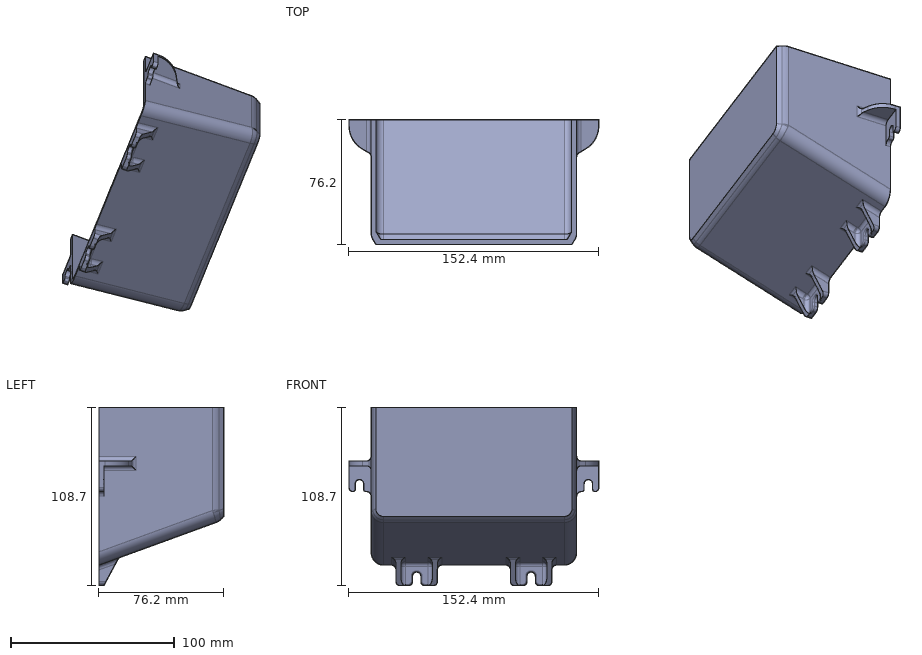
import cadquery as cq
import math

overall_width = 152.4
depth = 76.2
height = 108.7

body_width = 125.5
wall = 3.0
floor_back_z = 12.5
floor_angle = 20.0
floor_corner_radius = 7.6

side_bevel_width = 2.9
side_bevel_angle = 31.0
floor_bevel_width = 2.0
floor_bevel_angle = 44.0
bevel_run = 15.2
ridge_reach = 6.1
ridge_radius = 7.6

plate = 3.0
root_radius = 2.7
slot_width = 5.0
tip_radius = 2.5

ear_top_z = 76.0
ear_bottom_z = 57.3
ear_straight = 3.8
ear_arc_radius = 16.5
ear_arc_angle = 60.0
ear_slot_x = 69.8
ear_slot_top_z = 64.6
ear_slot_mouth_radius = 1.5
ear_reach = 22.9

foot_spacing = 69.8
foot_width = 25.3
gusset_angle = 28.0
foot_edge_radius = 0.8
foot_slot_top_z = 8.2
foot_slot_mouth_radius = 2.5

half_body = body_width / 2
half_overall = overall_width / 2
floor_slope = math.tan(math.radians(floor_angle))
tolerance = 0.002


def floor_z(y):
    """Height of the outer floor surface at a given Y."""
    return floor_back_z - y * floor_slope




def bevel_outline(y, half_width, bottom_z, radius):
    """Closed outline across Y with rounded lower corners, reaching above the hopper's rim."""
    top_z = height + wall
    return (
        cq.Workplane("XZ", origin=(0, y, 0))
        .moveTo(-half_width, top_z)
        .lineTo(-half_width, bottom_z + radius)
        .radiusArc((radius - half_width, bottom_z), -radius)
        .lineTo(half_width - radius, bottom_z)
        .radiusArc((half_width, bottom_z + radius), -radius)
        .lineTo(half_width, top_z)
        .close()
        .wires()
        .val()
    )


def bevel_envelope(inset, front_y, front_floor_z):
    """Solid that flares backward from the front face and leaves the bevels when intersected."""
    side_flare = bevel_run * math.tan(math.radians(side_bevel_angle))
    floor_flare = bevel_run * math.tan(math.radians(floor_bevel_angle))
    half_width = half_body - inset - side_bevel_width
    bottom_z = front_floor_z + floor_bevel_width
    radius = floor_corner_radius - inset - side_bevel_width
    back_y = front_y + bevel_run
    front = bevel_outline(front_y, half_width, bottom_z, radius)
    back = bevel_outline(back_y, half_width + side_flare, bottom_z - floor_flare, radius + side_flare)
    flare = cq.Workplane(cq.Solid.makeLoft([front, back], True))
    rest = (
        cq.Workplane("XY")
        .box(overall_width, -back_y, 2 * height, centered=(True, False, True))
        .translate((0, back_y, 0))
    )
    return flare.union(rest)


def hopper(inset):
    """Solid hopper with its sides, floor and front moved inward by inset."""
    lift = inset / math.cos(math.radians(floor_angle))
    front_y = inset - depth
    front_floor_z = floor_z(front_y) + lift
    solid = (
        cq.Workplane("YZ")
        .moveTo(0, floor_z(0) + lift)
        .lineTo(0, height)
        .lineTo(front_y, height)
        .lineTo(front_y, front_floor_z)
        .close()
        .extrude(half_body - inset, both=True)
    )
    solid = solid.faces("<Z").edges("<X or >X").fillet(floor_corner_radius - inset)
    return solid.intersect(bevel_envelope(inset, front_y, front_floor_z))


def round_ridge(solid):
    """Round the ridge where the front bevels meet the sides and floor of the outer hopper."""
    near_front = cq.selectors.BoxSelector(
        (-overall_width, tolerance - depth, 0),
        (overall_width, ridge_reach - depth, height + tolerance),
        boundingbox=True,
    )
    return solid.edges("not(<Y or >Z)").edges(near_front).fillet(ridge_radius)




def slot(x, bottom_z, top_z, mouth_radius):
    """Cutter for a round-topped slot, open downward, with rounded mouth corners."""
    half = slot_width / 2
    mouth = half + mouth_radius
    return (
        cq.Workplane("XZ")
        .moveTo(x - mouth, bottom_z)
        .radiusArc((x - half, bottom_z + mouth_radius), -mouth_radius)
        .lineTo(x - half, top_z - half)
        .threePointArc((x, top_z), (x + half, top_z - half))
        .lineTo(x + half, bottom_z + mouth_radius)
        .radiusArc((x + mouth, bottom_z), -mouth_radius)
        .close()
        .extrude(depth / 2)
    )


def ear():
    """Right-hand ear: a rounded shelf with a slotted lug hanging along its back."""
    turn = math.radians(ear_arc_angle)
    centre_x = half_overall - ear_arc_radius

    def on_arc(angle):
        return (
            centre_x + ear_arc_radius * math.cos(angle),
            -ear_straight - ear_arc_radius * math.sin(angle),
        )

    arc_end_x, arc_end_y = on_arc(turn)
    root_x = half_body - wall / 2
    root_y = arc_end_y - (arc_end_x - root_x) / math.tan(turn)
    shelf = (
        cq.Workplane("XY", origin=(0, 0, ear_top_z - plate))
        .moveTo(root_x, 0)
        .lineTo(half_overall, 0)
        .lineTo(half_overall, -ear_straight)
        .threePointArc(on_arc(turn / 2), (arc_end_x, arc_end_y))
        .lineTo(root_x, root_y)
        .close()
        .extrude(plate)
    )
    lug = (
        cq.Workplane("XY")
        .box(half_overall - root_x, plate, ear_top_z - ear_bottom_z, centered=False)
        .translate((root_x, -plate, ear_bottom_z))
        .edges("|Y and >X and <Z")
        .fillet(tip_radius)
    )
    return shelf.union(lug).cut(slot(ear_slot_x, ear_bottom_z, ear_slot_top_z, ear_slot_mouth_radius))


def foot_slot(x):
    """Cutter for the slot of a foot, which also rounds the front edges of slot and toes."""
    flat_width = foot_width - 2 * (plate + root_radius)
    blank = (
        cq.Workplane("XY", origin=(x, -plate, 0))
        .box(flat_width, plate, floor_back_z, centered=(True, False, False))
    )
    slotted = blank.cut(slot(x, 0, foot_slot_top_z, foot_slot_mouth_radius))
    rim = [
        edge
        for edge in slotted.faces("<Y").edges("not >Z").vals()
        if abs(abs(edge.Center().x - x) - flat_width / 2) > tolerance
    ]
    rounded = slotted.solids().val().fillet(foot_edge_radius, rim)
    return blank.cut(cq.Workplane(rounded))


def foot(x):
    """Slotted back plate between two triangular gussets, reaching up into the floor."""
    embed = wall / 2
    gusset_slope = math.tan(math.radians(gusset_angle))
    rise = (floor_z(-plate) + embed) / (1 - floor_slope * gusset_slope)
    top_y = -plate - rise * gusset_slope
    side = (
        cq.Workplane("YZ", origin=(x - foot_width / 2, 0, 0))
        .moveTo(0, 0)
        .lineTo(-plate, 0)
        .lineTo(top_y, floor_z(top_y) + embed)
        .lineTo(0, floor_z(0) + embed)
        .close()
        .extrude(foot_width)
    )
    gap = (
        cq.Workplane("XY", origin=(x, -plate - depth, 0))
        .box(foot_width - 2 * plate, depth, height, centered=(True, False, True))
    )
    block = side.edges("|Y and <Z").fillet(tip_radius).cut(gap)
    corners = [edge for edge in block.val().Edges() if is_gap_corner(edge)]
    blended = cq.Workplane(block.val().fillet(root_radius, corners))
    return blended.cut(foot_slot(x))




def sample(edge):
    """Three points spread along an edge."""
    return edge.positions([0.1, 0.5, 0.9])


def from_foot_centre(point):
    """Distance along X from a point to the middle of the nearer foot."""
    return abs(abs(point.x) - foot_spacing / 2)


def is_gap_corner(edge):
    """True for the upright corners where the plate of a foot meets its gussets."""
    gap_side = foot_width / 2 - plate
    return all(
        abs(from_foot_centre(p) - gap_side) < tolerance and abs(p.y + plate) < tolerance
        for p in sample(edge)
    )


def is_foot_root(edge):
    """True for edges where a foot meets the underside of the floor."""
    points = sample(edge)
    under_floor = all(abs(p.z - floor_z(p.y)) < tolerance for p in points)
    near_foot = all(from_foot_centre(p) < foot_width / 2 + tolerance for p in points)
    return under_floor and near_foot and edge.Length() < foot_width


def is_ear_root(edge):
    """True for edges where an ear meets a side wall, except along the front of its lug."""
    points = sample(edge)
    on_wall = all(abs(abs(p.x) - half_body) < tolerance for p in points)
    beside_ear = all(ear_bottom_z - tolerance < p.z < ear_top_z + tolerance for p in points)
    lug_front = all(abs(p.y + plate) < tolerance for p in points)
    return on_wall and beside_ear and not lug_front and edge.Length() < ear_reach



body = round_ridge(hopper(0)).cut(hopper(wall))
for foot_x in (-foot_spacing / 2, foot_spacing / 2):
    body = body.union(foot(foot_x))
right_ear = ear()
body = body.union(right_ear).union(right_ear.mirror("YZ"))

solid_body = body.solids().val()
roots = [edge for edge in solid_body.Edges() if is_ear_root(edge) or is_foot_root(edge)]
result = cq.Workplane(solid_body.fillet(root_radius, roots))